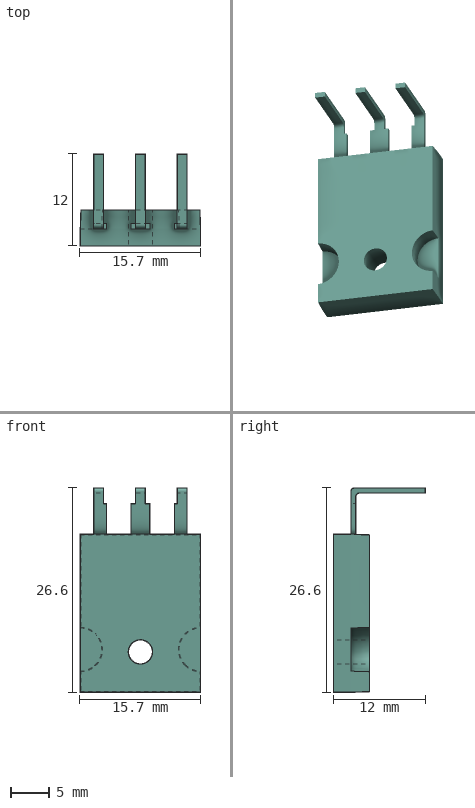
import cadquery as cq

total_height = 26.65
total_depth = 12.0

body_width = 15.7
body_height = 20.63
body_depth = 4.72
parting_y = 2.27
draft_angle = 2.0

hole_diameter = 3.12
hole_z = 5.28
notch_bottom_z = 2.77
notch_top_z = 8.4

lead_pitch = 5.44
lead_width = 1.3
lead_thickness = 0.67
bend_radius = 0.48
shoulder_drop = 2.05
middle_shoulder = 0.59
outer_shoulder = 0.37

lead_back_y = parting_y + lead_thickness
shoulder_height = total_height - shoulder_drop - body_height


def make_housing():
    """Plastic body with a through hole and round side notches that widen toward the back."""
    front_half = cq.Workplane("XY").box(
        body_width, parting_y, body_height, centered=(True, False, False)
    )
    back_half = (
        cq.Workplane("XZ", origin=(0, parting_y, body_height / 2))
        .rect(body_width, body_height)
        .extrude(parting_y - body_depth, taper=draft_angle)
    )
    hole = (
        cq.Workplane("XZ", origin=(0, 0, hole_z))
        .circle(hole_diameter / 2)
        .extrude(-body_depth)
    )
    notch_radius = (notch_top_z - notch_bottom_z) / 2
    notch_z = (notch_top_z + notch_bottom_z) / 2
    notches = (
        cq.Workplane("XZ", origin=(0, parting_y, notch_z))
        .pushPoints([(-body_width / 2, 0), (body_width / 2, 0)])
        .circle(notch_radius)
        .extrude(parting_y - body_depth, taper=-draft_angle)
    )
    return front_half.union(back_half.cut(notches)).cut(hole)


def make_lead(center_x, left_shoulder, right_shoulder):
    """Right-angle lead standing on the housing, widened below its shoulders."""
    left_x = center_x - lead_width / 2
    bent_strip = (
        cq.Workplane("YZ", origin=(left_x, 0, 0))
        .moveTo(parting_y, body_height)
        .lineTo(parting_y, total_height)
        .lineTo(total_depth, total_height)
        .lineTo(total_depth, total_height - lead_thickness)
        .lineTo(lead_back_y, total_height - lead_thickness)
        .lineTo(lead_back_y, body_height)
        .close()
        .extrude(lead_width)
    )
    outer_corner = cq.NearestToPointSelector((center_x, parting_y, total_height))
    inner_corner = cq.NearestToPointSelector((center_x, lead_back_y, total_height - lead_thickness))
    bent_strip = bent_strip.edges(outer_corner).fillet(bend_radius)
    bent_strip = bent_strip.edges(inner_corner).fillet(bend_radius)
    wide_base = cq.Workplane("XY", origin=(left_x - left_shoulder, parting_y, body_height)).box(
        left_shoulder + lead_width + right_shoulder, lead_thickness, shoulder_height, centered=False
    )
    return bent_strip.union(wide_base)


housing = make_housing()

lead_layout = [
    (-lead_pitch, 0, outer_shoulder),
    (0, middle_shoulder, middle_shoulder),
    (lead_pitch, outer_shoulder, 0),
]
leads = [make_lead(*layout) for layout in lead_layout]

result = cq.Compound.makeCompound([housing.val(), *[lead.val() for lead in leads]])